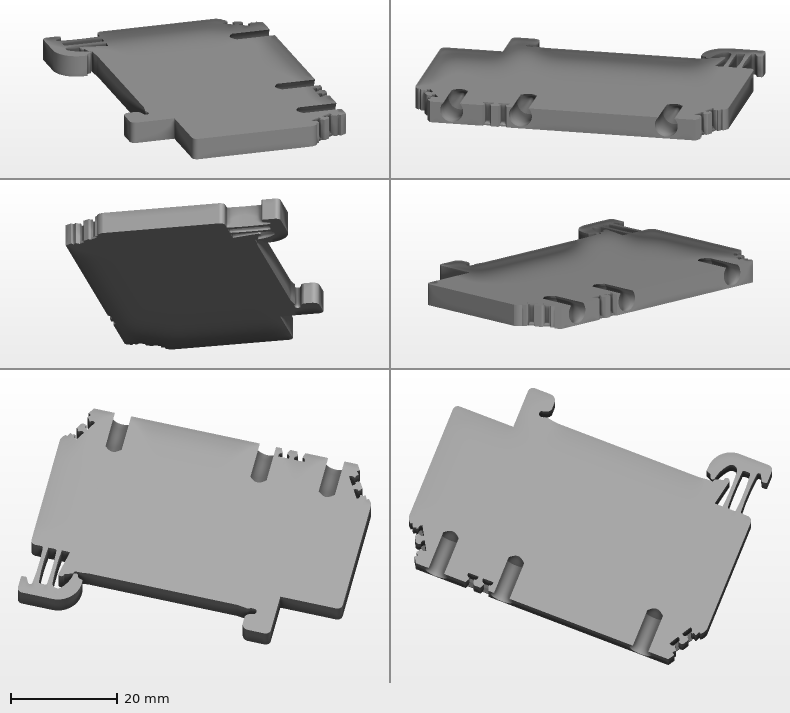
import cadquery as cq
import math

LENGTH = 60.35
HEIGHT = 42.3
THICKNESS = 4.1

BODY_BOTTOM = 10.72
BODY_BOTTOM_RADIUS = 1.0
RAIL_SEAT = 7.03
FOOT_LEFT = 43.0
FOOT_RIGHT = 48.5
FOOT_BOTTOM = 2.2
FOOT_LEFT_RADIUS = 1.3
FOOT_RIGHT_RADIUS = 1.0

THROAT_START = (FOOT_LEFT, 4.85)
THROAT_LIP_MIDDLE = (43.25, 5.3)
THROAT_LIP_END = (43.7, 5.6)
THROAT_FLOOR_END = (44.35, 5.85)
THROAT_BACK = (44.95, 6.4)
THROAT_ROOF_START = (44.4, 6.95)
THROAT_ROOF_END = (43.65, 7.0)
THROAT_NIB_MIDDLE = (43.35, 6.75)
THROAT_NIB_END = (42.8, 6.77)

RAIL_SEAT_RIGHT = (41.1, RAIL_SEAT)
RAIL_SEAT_LEFT = (12.2, RAIL_SEAT)
LIP_STEP_START = (10.8, 6.87)
LIP_STEP_END = (9.6, 6.87)
LIP_SHOULDER = (9.35, 6.3)
LIP_UNDERSIDE_END = (7.8, 5.83)
LIP_TIP = (7.2, 5.2)
LIP_INNER_START = (6.7, 5.6)
LIP_INNER_TOP = (7.7, BODY_BOTTOM)

SLOT_WALL_TOP = (6.1, BODY_BOTTOM)
SLOT_WALL_MIDDLE = (5.95, 7.0)
SLOT_WALL_BOTTOM = (6.1, 3.3)
SLOT_FLOOR_MIDDLE = (6.9, 2.5)
SLOT_FLOOR_END = (7.8, 2.7)
CLAW_INNER_MIDDLE = (8.9, 4.3)
CLAW_TIP_START = (9.45, 6.0)
CLAW_TIP_TOP = (9.9, 6.5)
CLAW_TIP_END = (10.4, 6.1)
CLAW_NOTCH_MIDDLE = (10.65, 5.65)
CLAW_NOTCH_END = (11.1, 5.5)
CLAW_RADIUS = 4.6
CLAW_CENTER_X = 6.87
CLAW_NOSE = (CLAW_CENTER_X + CLAW_RADIUS, 5.3)

HEEL_RADIUS = 0.95
HEEL_TOP = 3.52
HEEL_TOP_RADIUS = 0.33
HEEL_TOP_END = (0.85, HEEL_TOP)
HEEL_BEND_MIDDLE = (1.1, 3.4)
HEEL_BEND_END = (1.25, 3.1)
HEEL_NOTCH_START = (1.6, 2.4)
HEEL_NOTCH_BOTTOM = (2.05, 2.15)
LEG_BOTTOM = (2.4, 2.6)
LEG_MIDDLE = (2.62, 6.5)
LEG_TOP = (2.5, 10.3)
LEG_BEND_MIDDLE = (2.4, 10.6)
LEG_BEND_END = (2.1, BODY_BOTTOM)

WINDOW_BOTTOM = 2.75
WINDOW_TOP_LEFT = 3.5
WINDOW_BOTTOM_LEFT = 3.55
WINDOW_RIGHT = 5.15
WINDOW_MIDDLE_Y = 6.5
WINDOW_LEFT_BULGE = 3.35
WINDOW_RIGHT_BULGE = 5.25
WINDOW_RADIUS = 0.35

GROOVE_CENTERS_X = (10.24, 38.35, 51.6)
GROOVE_HALF_WIDTH = 1.57
GROOVE_RADIUS = 2.2
GROOVE_STRAIGHT_END = 34.8
GROOVE_TIP = 33.93

SOCKETS_PER_EDGE = 2
SOCKET_PITCH = 3.0
SOCKET_MOUTH_HALF = 0.82
SOCKET_NECK_HALF = 0.5
SOCKET_NECK_START = 0.7
SOCKET_SLOT_START = 1.1
SOCKET_SLOT_SHOULDER_HALF = 0.75
SOCKET_SLOT_SHOULDER = 1.45
SOCKET_RAMP_START = 1.27
SOCKET_SLOT_HALF = 1.04
SOCKET_SLOT_END = 1.9
SOCKET_OPEN_DEPTH = 0.47
SOCKET_FLOOR = 0.55
SOCKET_RAMP_ANGLE = 15.6
TOP_SOCKET_X = 41.84
CORNER_SOCKET = (3.38, 39.38)
CORNER_ANGLE = 60.0

CORNER_ARC_START = (0.0, 34.2)
CORNER_ARC_MIDDLE = (0.28, 34.85)
CORNER_TEETH = [
    (0.85, 35.45),
    (1.1, 35.2),
    (1.3, 35.6),
    (1.5, 36.0),
    (1.65, 36.0),
    (1.9, 35.8),
    (2.2, 35.8),
    (2.2, 36.05),
    (2.7, 36.85),
    (2.8, 37.05),
    (2.45, 37.4),
    (3.05, 38.45),
    (3.3, 38.6),
    (3.75, 38.6),
    (4.4, 39.55),
    (3.87, 40.2),
    (4.4, 40.75),
    (3.87, 41.1),
    (4.6, HEIGHT),
]


def mirror_x(point):
    """Reflect a point about the middle of the plate's length."""
    return (LENGTH - point[0], point[1])


def add_lines(path, points):
    """Continue the path with straight lines through the points."""
    for point in points:
        path = path.lineTo(*point)
    return path


def add_upper_edge(path):
    """Left corner, top edge and mirrored right corner, starting on the left side."""
    path = path.lineTo(*CORNER_ARC_START)
    path = path.threePointArc(CORNER_ARC_MIDDLE, CORNER_TEETH[0])
    path = add_lines(path, CORNER_TEETH[1:])
    path = add_lines(path, [mirror_x(point) for point in reversed(CORNER_TEETH)])
    return path.threePointArc(mirror_x(CORNER_ARC_MIDDLE), mirror_x(CORNER_ARC_START))


def add_fixed_foot(path):
    """Right end of the body, the fixed rail foot and the throat above it."""
    path = path.lineTo(LENGTH, BODY_BOTTOM + BODY_BOTTOM_RADIUS)
    path = path.radiusArc((LENGTH - BODY_BOTTOM_RADIUS, BODY_BOTTOM), BODY_BOTTOM_RADIUS)
    path = path.lineTo(FOOT_RIGHT, BODY_BOTTOM)
    path = path.lineTo(FOOT_RIGHT, FOOT_BOTTOM + FOOT_RIGHT_RADIUS)
    path = path.radiusArc((FOOT_RIGHT - FOOT_RIGHT_RADIUS, FOOT_BOTTOM), FOOT_RIGHT_RADIUS)
    path = path.lineTo(FOOT_LEFT + FOOT_LEFT_RADIUS, FOOT_BOTTOM)
    path = path.radiusArc((FOOT_LEFT, FOOT_BOTTOM + FOOT_LEFT_RADIUS), FOOT_LEFT_RADIUS)
    path = path.lineTo(*THROAT_START)
    path = path.threePointArc(THROAT_LIP_MIDDLE, THROAT_LIP_END)
    path = path.lineTo(*THROAT_FLOOR_END)
    path = path.threePointArc(THROAT_BACK, THROAT_ROOF_START)
    path = path.lineTo(*THROAT_ROOF_END)
    return path.threePointArc(THROAT_NIB_MIDDLE, THROAT_NIB_END)


def add_seat_and_lip(path):
    """Rail seat and the pointed lip at its left end."""
    path = add_lines(path, [RAIL_SEAT_RIGHT, RAIL_SEAT_LEFT, LIP_STEP_START, LIP_STEP_END])
    path = add_lines(path, [LIP_SHOULDER, LIP_UNDERSIDE_END])
    path = path.threePointArc(LIP_TIP, LIP_INNER_START)
    return path.lineTo(*LIP_INNER_TOP)


def add_spring_clip(path):
    """Spring slot, claw, heel and outer leg, ending at the lower left of the body."""
    path = path.lineTo(*SLOT_WALL_TOP)
    path = path.threePointArc(SLOT_WALL_MIDDLE, SLOT_WALL_BOTTOM)
    path = path.threePointArc(SLOT_FLOOR_MIDDLE, SLOT_FLOOR_END)
    path = path.threePointArc(CLAW_INNER_MIDDLE, CLAW_TIP_START)
    path = path.threePointArc(CLAW_TIP_TOP, CLAW_TIP_END)
    path = path.threePointArc(CLAW_NOTCH_MIDDLE, CLAW_NOTCH_END)
    path = path.lineTo(*CLAW_NOSE)
    path = path.lineTo(CLAW_CENTER_X + CLAW_RADIUS, CLAW_RADIUS)
    path = path.radiusArc((CLAW_CENTER_X, 0), CLAW_RADIUS)
    path = path.lineTo(HEEL_RADIUS, 0)
    path = path.radiusArc((0, HEEL_RADIUS), HEEL_RADIUS)
    path = path.lineTo(0, HEEL_TOP - HEEL_TOP_RADIUS)
    path = path.radiusArc((HEEL_TOP_RADIUS, HEEL_TOP), HEEL_TOP_RADIUS)
    path = path.lineTo(*HEEL_TOP_END)
    path = path.threePointArc(HEEL_BEND_MIDDLE, HEEL_BEND_END)
    path = path.lineTo(*HEEL_NOTCH_START)
    path = path.threePointArc(HEEL_NOTCH_BOTTOM, LEG_BOTTOM)
    path = path.threePointArc(LEG_MIDDLE, LEG_TOP)
    path = path.threePointArc(LEG_BEND_MIDDLE, LEG_BEND_END)
    path = path.lineTo(BODY_BOTTOM_RADIUS, BODY_BOTTOM)
    return path.radiusArc((0, BODY_BOTTOM + BODY_BOTTOM_RADIUS), BODY_BOTTOM_RADIUS)


def plate():
    """Flat plate with its whole outline, traced clockwise from the lower left side."""
    path = cq.Workplane("XY").moveTo(0, BODY_BOTTOM + BODY_BOTTOM_RADIUS)
    path = add_upper_edge(path)
    path = add_fixed_foot(path)
    path = add_seat_and_lip(path)
    path = add_spring_clip(path)
    return path.close().extrude(THICKNESS)


def clip_window():
    """Long through slot between the two clip legs, with slightly bowed sides."""
    right_top = (WINDOW_RIGHT, BODY_BOTTOM - WINDOW_RADIUS)
    right_bottom = (WINDOW_RIGHT, WINDOW_BOTTOM + WINDOW_RADIUS)
    left_bottom = (WINDOW_BOTTOM_LEFT, WINDOW_BOTTOM + WINDOW_RADIUS)
    left_top = (WINDOW_TOP_LEFT, BODY_BOTTOM)
    path = cq.Workplane("XY").moveTo(*left_top)
    path = path.lineTo(WINDOW_RIGHT - WINDOW_RADIUS, BODY_BOTTOM)
    path = path.radiusArc(right_top, WINDOW_RADIUS)
    path = path.threePointArc((WINDOW_RIGHT_BULGE, WINDOW_MIDDLE_Y), right_bottom)
    path = path.radiusArc((WINDOW_RIGHT - WINDOW_RADIUS, WINDOW_BOTTOM), WINDOW_RADIUS)
    path = path.lineTo(WINDOW_BOTTOM_LEFT + WINDOW_RADIUS, WINDOW_BOTTOM)
    path = path.radiusArc(left_bottom, WINDOW_RADIUS)
    path = path.threePointArc((WINDOW_LEFT_BULGE, WINDOW_MIDDLE_Y), left_top)
    return path.close().extrude(THICKNESS)


def wire_groove(center_x):
    """Undercut round groove with a conical end; its axis lies below the top face."""
    axis_depth = math.sqrt(GROOVE_RADIUS**2 - GROOVE_HALF_WIDTH**2)
    tip_narrowing = GROOVE_RADIUS - axis_depth
    cone_length = GROOVE_RADIUS * (GROOVE_STRAIGHT_END - GROOVE_TIP) / tip_narrowing
    profile = (
        cq.Workplane("XY", origin=(center_x, 0, THICKNESS - axis_depth))
        .moveTo(0, HEIGHT)
        .lineTo(GROOVE_RADIUS, HEIGHT)
        .lineTo(GROOVE_RADIUS, GROOVE_STRAIGHT_END)
        .lineTo(0, GROOVE_STRAIGHT_END - cone_length)
        .close()
    )
    return profile.revolve(360, (0, 0, 0), (0, 1, 0))


def marker_socket(x, y, angle):
    """T-shaped socket entering from the edge point (x, y); the edge is turned by the angle."""
    half = [
        (SOCKET_MOUTH_HALF, 0),
        (SOCKET_NECK_HALF, -SOCKET_NECK_START),
        (SOCKET_NECK_HALF, -SOCKET_SLOT_START),
        (SOCKET_SLOT_SHOULDER_HALF, -SOCKET_SLOT_START),
        (SOCKET_SLOT_HALF, -SOCKET_SLOT_SHOULDER),
        (SOCKET_SLOT_HALF, -SOCKET_SLOT_END),
    ]
    other_half = [(-across, along) for across, along in reversed(half)]
    shape = cq.Workplane("XY").polyline(half + other_half).close().extrude(THICKNESS)

    ramp_drop = (SOCKET_RAMP_START - SOCKET_OPEN_DEPTH) * math.tan(math.radians(SOCKET_RAMP_ANGLE))
    space = (
        cq.Workplane("YZ", origin=(-SOCKET_SLOT_HALF, 0, 0))
        .polyline(
            [
                (-SOCKET_SLOT_END, THICKNESS),
                (-SOCKET_SLOT_END, SOCKET_FLOOR),
                (-SOCKET_RAMP_START, SOCKET_FLOOR),
                (-SOCKET_OPEN_DEPTH, SOCKET_FLOOR - ramp_drop),
                (-SOCKET_OPEN_DEPTH, 0),
                (0, 0),
                (0, THICKNESS),
            ]
        )
        .close()
        .extrude(2 * SOCKET_SLOT_HALF)
    )
    socket = shape.intersect(space)
    return socket.rotate((0, 0, 0), (0, 0, 1), angle).translate((x, y, 0))


def all_sockets():
    """A pair of sockets on the top edge and a pair on each upper corner."""
    turn = math.radians(CORNER_ANGLE)
    sockets = []
    for index in range(SOCKETS_PER_EDGE):
        step = index * SOCKET_PITCH
        corner = (CORNER_SOCKET[0] - step * math.cos(turn), CORNER_SOCKET[1] - step * math.sin(turn))
        sockets.append(marker_socket(TOP_SOCKET_X + step, HEIGHT, 0))
        sockets.append(marker_socket(*corner, CORNER_ANGLE))
        sockets.append(marker_socket(*mirror_x(corner), -CORNER_ANGLE))
    return sockets


result = plate().cut(clip_window())
for groove_x in GROOVE_CENTERS_X:
    result = result.cut(wire_groove(groove_x))
for socket in all_sockets():
    result = result.cut(socket)